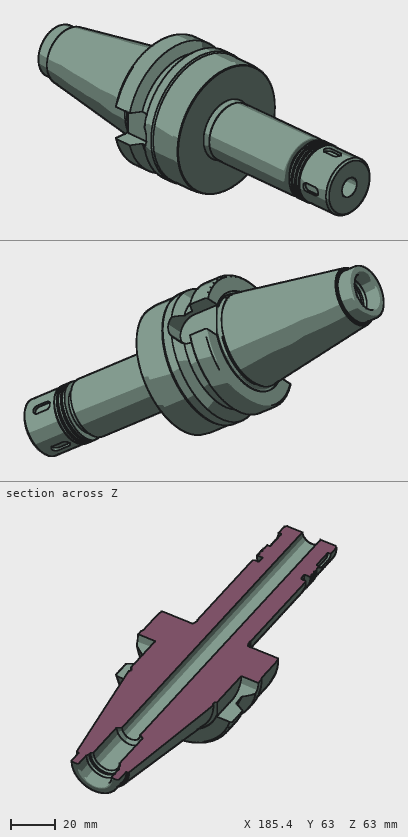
import cadquery as cq
import math


TAPER_RATIO = 7 / 24
GAUGE_DIA = 44.45
SHANK_LENGTH = 65.4
SMALL_END = -SHANK_LENGTH
PILOT_DIA = 25.0
PILOT_LENGTH = 6.8
PILOT_EDGE_RADIUS = 1.0
TAPER_EDGE_CHAMFER = 0.5

RELIEF_DIA = 43.2
RELIEF_LEAD = 0.5
RELIEF_FILLET = 1.15
RECESS_DIA = 47.5
RECESS_DEPTH = 0.45

FLANGE_DIA = 63.0
FLANGE_FRONT = 2.0
FLANGE_EDGE_RADIUS = 1.0
V_GROOVE_DIA = 53.2
V_GROOVE_CENTER = 16.4
V_GROOVE_FLOOR = 4.3
V_FLANK_ANGLE = 30.0
FLANGE_BACK = 26.0

DRIVE_SLOT_COUNT = 2
DRIVE_SLOT_WIDTH = 16.1
DRIVE_SLOT_END = 23.1
DRIVE_SLOT_FLOOR_RADIUS = 22.6

COLLAR_DIA = 62.0
COLLAR_STEP_LENGTH = 0.9
COLLAR_RIM_START = 38.7
COLLAR_RIM_DIA = 61.2
COLLAR_END = 42.1
COLLAR_CHAMFER = 0.3

BODY_DIA = 28.0
BODY_ROOT_DIA = 29.0
BODY_ROOT_LENGTH = 2.9
BODY_ROOT_END_DIA = 27.6
BODY_ROOT_CHAMFER = 0.35
BODY_END = 93.0
BODY_EDGE_RADIUS = 1.0
NECK_DIA = 22.0

NUT_START = 96.0
NUT_END = 120.0
NUT_DIA = 27.4
NUT_CHAMFER = 1.0
RING_DIA = 28.0
RING_COUNT = 3
RING_WIDTH = 1.25
RING_GAP = 1.0
RING_GROOVE_DEPTH = 0.5
RING_STEP_LENGTH = 0.5
WRENCH_SLOT_COUNT = 4
WRENCH_SLOT_LENGTH = 9.5
WRENCH_SLOT_WIDTH = 4.2
WRENCH_SLOT_CENTER = 109.25
WRENCH_SLOT_DEPTH = 1.5

MOUTH_RADIUS = 1.0
PILOT_BORE_DIA = 17.0
PILOT_BORE_DEPTH = 7.0
LEAD_DIA = 15.5
LEAD_DEPTH = 8.3
THREAD_DIA = 13.5
LEAD_END_DEPTH = 9.3
THREAD_LEAD_DEPTH = 10.3
THREAD_DEPTH = 30.0
THROUGH_DIA = 9.3
DRILL_POINT_ANGLE = 118.0


def round_edge(sketch, corner, start, end):
    """Quarter-circle arc bulging toward the corner, from start to end."""
    near = 1 - math.sqrt(0.5)
    middle = [
        c + near * ((s - c) + (e - c))
        for c, s, e in zip(corner, start, end)
    ]
    return sketch.lineTo(*start).threePointArc(tuple(middle), end)


def revolve(sketch):
    """Close an outline drawn as (x, radius) and turn it about the X axis."""
    return sketch.close().revolve(360, (0, 0, 0), (1, 0, 0))


def add_shank(sketch):
    pilot_radius = PILOT_DIA / 2
    pilot_end = SMALL_END + PILOT_LENGTH
    taper_start = pilot_end + TAPER_EDGE_CHAMFER
    taper_radius = (GAUGE_DIA + taper_start * TAPER_RATIO) / 2
    sketch = round_edge(
        sketch,
        corner=(SMALL_END, pilot_radius),
        start=(SMALL_END, pilot_radius - PILOT_EDGE_RADIUS),
        end=(SMALL_END + PILOT_EDGE_RADIUS, pilot_radius),
    )
    return (
        sketch.lineTo(pilot_end, pilot_radius)
        .lineTo(pilot_end, taper_radius - TAPER_EDGE_CHAMFER)
        .lineTo(taper_start, taper_radius)
        .lineTo(0, GAUGE_DIA / 2)
        .lineTo(RELIEF_LEAD, RELIEF_DIA / 2)
    )


def add_flange(sketch):
    rim = FLANGE_DIA / 2
    floor = V_GROOVE_DIA / 2
    recess_floor = FLANGE_FRONT + RECESS_DEPTH
    flank = (rim - floor) * math.tan(math.radians(V_FLANK_ANGLE))
    floor_start = V_GROOVE_CENTER - V_GROOVE_FLOOR / 2
    floor_end = V_GROOVE_CENTER + V_GROOVE_FLOOR / 2
    sketch = round_edge(
        sketch,
        corner=(recess_floor, RELIEF_DIA / 2),
        start=(recess_floor - RELIEF_FILLET, RELIEF_DIA / 2),
        end=(recess_floor, RELIEF_DIA / 2 + RELIEF_FILLET),
    )
    sketch = sketch.lineTo(recess_floor, RECESS_DIA / 2).lineTo(FLANGE_FRONT, RECESS_DIA / 2)
    sketch = round_edge(
        sketch,
        corner=(FLANGE_FRONT, rim),
        start=(FLANGE_FRONT, rim - FLANGE_EDGE_RADIUS),
        end=(FLANGE_FRONT + FLANGE_EDGE_RADIUS, rim),
    )
    return (
        sketch.lineTo(floor_start - flank, rim)
        .lineTo(floor_start, floor)
        .lineTo(floor_end, floor)
        .lineTo(floor_end + flank, rim)
        .lineTo(FLANGE_BACK, rim)
    )


def add_collar(sketch):
    return (
        sketch.lineTo(FLANGE_BACK + COLLAR_STEP_LENGTH, COLLAR_DIA / 2)
        .lineTo(COLLAR_RIM_START, COLLAR_DIA / 2)
        .lineTo(COLLAR_END - COLLAR_CHAMFER, COLLAR_RIM_DIA / 2)
        .lineTo(COLLAR_END, COLLAR_RIM_DIA / 2 - COLLAR_CHAMFER)
    )


def add_body(sketch):
    """Body with a shallow root sweep that ends parallel to the axis."""
    body_radius = BODY_DIA / 2
    root_radius = BODY_ROOT_DIA / 2
    root_end_radius = BODY_ROOT_END_DIA / 2
    root_end = COLLAR_END + BODY_ROOT_LENGTH
    drop = root_radius - root_end_radius
    sweep_radius = (BODY_ROOT_LENGTH**2 + drop**2) / (2 * drop)
    half_angle = math.asin(BODY_ROOT_LENGTH / sweep_radius) / 2
    sweep_middle = (
        root_end - sweep_radius * math.sin(half_angle),
        root_end_radius + sweep_radius * (1 - math.cos(half_angle)),
    )
    sketch = (
        sketch.lineTo(COLLAR_END, root_radius)
        .threePointArc(sweep_middle, (root_end, root_end_radius))
        .lineTo(root_end + BODY_ROOT_CHAMFER, body_radius)
    )
    sketch = round_edge(
        sketch,
        corner=(BODY_END, body_radius),
        start=(BODY_END - BODY_EDGE_RADIUS, body_radius),
        end=(BODY_END, body_radius - BODY_EDGE_RADIUS),
    )
    return sketch.lineTo(BODY_END, NECK_DIA / 2).lineTo(NUT_START, NECK_DIA / 2)


def add_nut(sketch):
    ring_radius = RING_DIA / 2
    nut_radius = NUT_DIA / 2
    ring_pitch = RING_WIDTH + RING_GAP
    for i in range(RING_COUNT):
        ring_start = NUT_START + i * ring_pitch
        ring_end = ring_start + RING_WIDTH
        sketch = sketch.lineTo(ring_start, ring_radius).lineTo(ring_end, ring_radius)
        if i < RING_COUNT - 1:
            sketch = sketch.lineTo(ring_end + RING_GAP / 2, ring_radius - RING_GROOVE_DEPTH)
    return (
        sketch.lineTo(ring_end + RING_STEP_LENGTH, nut_radius)
        .lineTo(NUT_END - NUT_CHAMFER, nut_radius)
        .lineTo(NUT_END, nut_radius - NUT_CHAMFER)
        .lineTo(NUT_END, 0)
    )


def make_holder():
    sketch = cq.Workplane("XY").moveTo(SMALL_END, 0)
    for add_section in (add_shank, add_flange, add_collar, add_body, add_nut):
        sketch = add_section(sketch)
    return revolve(sketch)


def make_bore():
    pilot_radius = PILOT_BORE_DIA / 2
    thread_end = SMALL_END + THREAD_DEPTH
    half_point = math.radians(DRILL_POINT_ANGLE / 2)
    point_length = (THREAD_DIA - THROUGH_DIA) / 2 / math.tan(half_point)
    sketch = round_edge(
        cq.Workplane("XY").moveTo(SMALL_END, 0),
        corner=(SMALL_END, pilot_radius),
        start=(SMALL_END, pilot_radius + MOUTH_RADIUS),
        end=(SMALL_END + MOUTH_RADIUS, pilot_radius),
    )
    return revolve(
        sketch.lineTo(SMALL_END + PILOT_BORE_DEPTH, pilot_radius)
        .lineTo(SMALL_END + LEAD_DEPTH, LEAD_DIA / 2)
        .lineTo(SMALL_END + LEAD_END_DEPTH, LEAD_DIA / 2)
        .lineTo(SMALL_END + THREAD_LEAD_DEPTH, THREAD_DIA / 2)
        .lineTo(thread_end, THREAD_DIA / 2)
        .lineTo(thread_end + point_length, THROUGH_DIA / 2)
        .lineTo(NUT_END, THROUGH_DIA / 2)
        .lineTo(NUT_END, 0)
    )


def make_drive_slot():
    """Round-ended cutter on the -Y side, open toward the shank."""
    depth = FLANGE_DIA / 2 - DRIVE_SLOT_FLOOR_RADIUS
    arc_center = DRIVE_SLOT_END - DRIVE_SLOT_WIDTH / 2
    return (
        cq.Workplane("XZ", origin=(0, -DRIVE_SLOT_FLOOR_RADIUS, 0))
        .moveTo(0, -DRIVE_SLOT_WIDTH / 2)
        .lineTo(arc_center, -DRIVE_SLOT_WIDTH / 2)
        .threePointArc((DRIVE_SLOT_END, 0), (arc_center, DRIVE_SLOT_WIDTH / 2))
        .lineTo(0, DRIVE_SLOT_WIDTH / 2)
        .close()
        .extrude(depth)
    )


def make_wrench_slot():
    """Flat-floored oblong cutter on the -Y side of the nut."""
    floor_radius = NUT_DIA / 2 - WRENCH_SLOT_DEPTH
    return (
        cq.Workplane("XZ", origin=(WRENCH_SLOT_CENTER, -floor_radius, 0))
        .slot2D(WRENCH_SLOT_LENGTH, WRENCH_SLOT_WIDTH)
        .extrude(2 * WRENCH_SLOT_DEPTH)
    )


def cut_around_axis(part, cutter, count):
    """Cut evenly spaced copies of the cutter, turned about the X axis."""
    for i in range(count):
        part = part.cut(cutter.rotate((0, 0, 0), (1, 0, 0), i * 360 / count))
    return part


result = make_holder().cut(make_bore())
result = cut_around_axis(result, make_drive_slot(), DRIVE_SLOT_COUNT)
result = cut_around_axis(result, make_wrench_slot(), WRENCH_SLOT_COUNT)